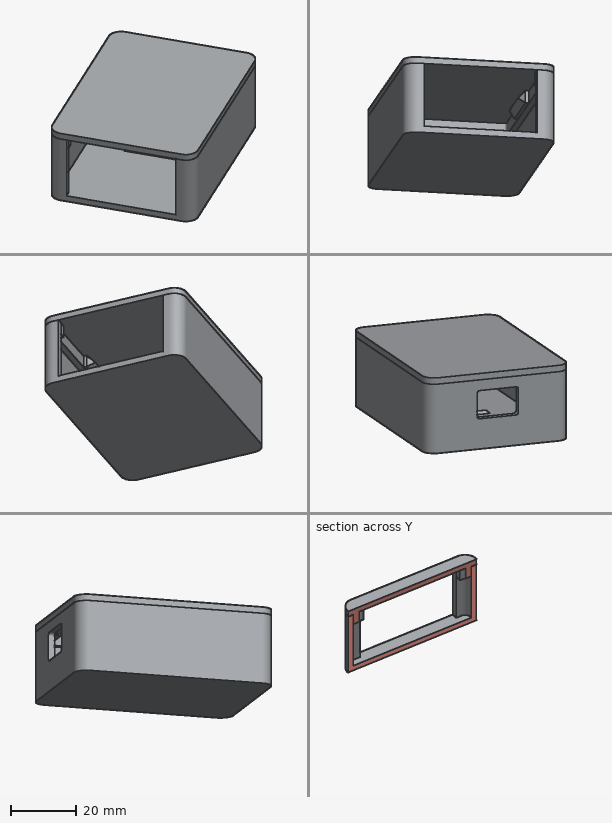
import cadquery as cq

width = 47.0
length = 63.0
height = 24.0
wall = 2.0
corner_radius = 4.0
cavity_radius = corner_radius - wall

lid_thickness = 2.0
lip_depth = 4.0
lip_thickness = 2.0
lip_radius = 0.6
housing_height = height - lid_thickness
lip_bottom = housing_height - lip_depth
cavity_width = width - 2 * wall
cavity_length = length - 2 * wall
lip_inner_width = cavity_width - 2 * lip_thickness
lip_inner_length = cavity_length - 2 * lip_thickness

opening_width = 35.15

window_width = 13.55
window_height = 8.95
window_radius = 0.95
window_center_x = 0.2
window_top = 18.6
window_center_z = window_top - window_height / 2

floor_ridge_length = 17.65
floor_ridge_height = 0.9
floor_ridge_center_x = -0.3

clip_length = 17.65
clip_reach = 3.1
clip_half_height = lip_depth / 2
clip_point_height = clip_half_height
clip_pad = clip_reach - clip_point_height
clip_center_z = lip_bottom + lip_depth / 2


def rounded_block(size_x, size_y, size_z, radius, bottom):
    """Upright block with rounded vertical edges, centred on the Z axis."""
    block = cq.Workplane("XY").workplane(offset=bottom).rect(size_x, size_y).extrude(size_z)
    return block.edges("|Z").fillet(radius)


def ridge(ridge_length, half_width, ridge_height):
    """Ridge along X with a triangular section and ends that slope at 45 degrees."""
    half_length = ridge_length / 2
    side_outline = [
        (-half_length, 0),
        (half_length, 0),
        (half_length - ridge_height, ridge_height),
        (ridge_height - half_length, ridge_height),
    ]
    section = [(-half_width, 0), (half_width, 0), (0, ridge_height)]
    bar = cq.Workplane("XZ").polyline(side_outline).close().extrude(half_width, both=True)
    prism = cq.Workplane("YZ").polyline(section).close().extrude(half_length, both=True)
    return bar.intersect(prism)


def front_opening():
    """Cutter for the front wall and the lip behind it."""
    depth = wall + lip_thickness
    return (
        cq.Workplane("XY")
        .box(opening_width, depth, housing_height - wall, centered=(True, False, False))
        .translate((0, -length / 2, wall))
    )


def make_housing():
    housing = rounded_block(width, length, housing_height, corner_radius, 0)
    cavity = rounded_block(cavity_width, cavity_length, housing_height - wall, cavity_radius, wall)
    window = (
        cq.Workplane("XY")
        .box(window_width, wall, window_height)
        .edges("|Y")
        .fillet(window_radius)
        .translate((window_center_x, (length - wall) / 2, window_center_z))
    )
    floor_ridge = ridge(floor_ridge_length, floor_ridge_height, floor_ridge_height)
    floor_ridge = floor_ridge.translate((floor_ridge_center_x, 0, wall))
    return housing.cut(cavity).cut(front_opening()).cut(window).union(floor_ridge)


def make_lid():
    plate = rounded_block(width, length, lid_thickness, corner_radius, housing_height)
    lip = rounded_block(cavity_width, cavity_length, lip_depth, cavity_radius, lip_bottom)
    lip_hollow = rounded_block(lip_inner_width, lip_inner_length, lip_depth, lip_radius, lip_bottom)
    notch_height = window_top - lip_bottom
    notch = (
        cq.Workplane("XY")
        .box(window_width, lip_thickness, notch_height)
        .translate((window_center_x, (cavity_length - lip_thickness) / 2, lip_bottom + notch_height / 2))
    )
    lip = lip.cut(lip_hollow).cut(front_opening()).cut(notch)
    return plate.union(lip)


def make_clip(turn):
    """Clip on the left side of the lip, turned about Z by the given angle."""
    pad = (
        cq.Workplane("XY")
        .box(clip_length, 2 * clip_half_height, clip_pad, centered=(True, True, False))
    )
    point = ridge(clip_length, clip_half_height, clip_point_height).translate((0, 0, clip_pad))
    clip = pad.union(point)
    clip = clip.rotate((0, 0, 0), (0, 0, 1), 90).rotate((0, 0, 0), (0, 1, 0), 90)
    clip = clip.translate((-lip_inner_width / 2, 0, clip_center_z))
    return clip.rotate((0, 0, 0), (0, 0, 1), turn)


housing = make_housing()
lid = make_lid()
clips = [make_clip(turn) for turn in (0, 180)]

result = cq.Compound.makeCompound([housing.val(), lid.val(), *[clip.val() for clip in clips]])